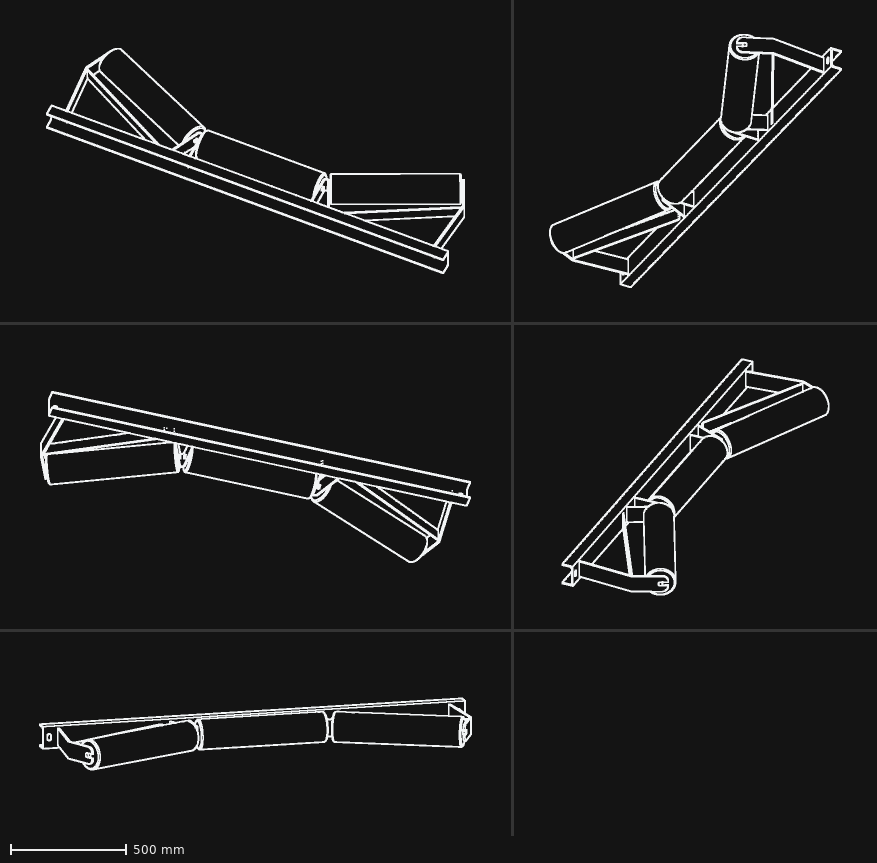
import cadquery as cq
import math


BEAM_LENGTH = 1900.0
BEAM_HEIGHT = 99.0
FLANGE_DEPTH = 51.0
BEAM_WALL = 5.0
BEAM_INNER_RADIUS = 10.0
SLOT_LENGTH = 28.0
SLOT_WIDTH = 17.0
SLOT_FROM_BEAM_END = 28.0

ROLLER_DIAMETER = 133.0
ROLLER_LENGTH = 570.0
ROLLER_CHAMFER = 5.0
SHAFT_DIAMETER = 19.0
MIDDLE_ROLLER_Y = 115.0
WING_ANGLE = 25.0
WING_INNER_END = (325.0, 127.0)

PLATE_WIDTH = 76.0
INNER_PLATE = 5.0
OUTER_PLATE = 8.0
BRACE_PLATE = 5.0
INNER_CLEARANCE = 4.0
OUTER_CLEARANCE = 5.0
INNER_BEND_RADIUS = 8.5
BEND_Y = 260.0
BEND_REACH = 4.0
UPRIGHT_FOOT_X = 880.0
BRACE_FOOT_X = 415.0
BRACE_WIDTH = 57.0
PLATE_END_BEYOND_SHAFT = 35.0
PLATE_CORNER_RADIUS = 27.0

FOOT_Y = -BEAM_WALL / 2

COS_WING = math.cos(math.radians(WING_ANGLE))
SIN_WING = math.sin(math.radians(WING_ANGLE))
TAN_WING = SIN_WING / COS_WING
SHAFT_OVERHANG = max(OUTER_CLEARANCE + OUTER_PLATE, INNER_CLEARANCE + INNER_PLATE)
SHAFT_LENGTH = ROLLER_LENGTH + 2 * SHAFT_OVERHANG


def wing_point(along, across):
    """Point at a distance outwards from the wing roller's inner end and across its axis."""
    x = WING_INNER_END[0] + along * COS_WING - across * SIN_WING
    y = WING_INNER_END[1] + along * SIN_WING + across * COS_WING
    return (x, y)


WING_CENTRE = wing_point(ROLLER_LENGTH / 2, 0)
LEFT_STATION = ((-WING_CENTRE[0], WING_CENTRE[1]), -WING_ANGLE)
MIDDLE_STATION = ((0, MIDDLE_ROLLER_Y), 0)
RIGHT_STATION = (WING_CENTRE, WING_ANGLE)
STATIONS = [LEFT_STATION, MIDDLE_STATION, RIGHT_STATION]


def make_rod(diameter, length):
    """Cylinder along X, centred on the origin."""
    return cq.Workplane("YZ", origin=(-length / 2, 0, 0)).circle(diameter / 2).extrude(length)


def place(body, station):
    """Turn a body lying along X and move it to a roller station."""
    (x, y), turn = station
    return body.rotate((0, 0, 0), (0, 0, 1), turn).translate((x, y, 0))


def make_shaft(station):
    return place(make_rod(SHAFT_DIAMETER, SHAFT_LENGTH), station)


def make_roller(station):
    roller = make_rod(ROLLER_DIAMETER, ROLLER_LENGTH).edges("%CIRCLE").chamfer(ROLLER_CHAMFER)
    return place(roller.cut(make_rod(SHAFT_DIAMETER, ROLLER_LENGTH)), station)


def make_beam():
    """Channel with its flanges pointing to -Y and a slot near each end of the web."""
    beam = cq.Workplane("XY").box(BEAM_LENGTH, FLANGE_DEPTH, BEAM_HEIGHT).translate((0, -FLANGE_DEPTH / 2, 0))
    trough = (
        cq.Workplane("XY")
        .box(BEAM_LENGTH, FLANGE_DEPTH, BEAM_HEIGHT - 2 * BEAM_WALL)
        .edges("|X and >Y")
        .fillet(BEAM_INNER_RADIUS)
        .translate((0, -FLANGE_DEPTH / 2 - BEAM_WALL, 0))
    )
    slot_x = BEAM_LENGTH / 2 - SLOT_FROM_BEAM_END
    slots = (
        cq.Workplane("XZ")
        .pushPoints([(-slot_x, 0), (slot_x, 0)])
        .slot2D(SLOT_LENGTH, SLOT_WIDTH, 90)
        .extrude(BEAM_WALL)
    )
    return beam.cut(trough).cut(slots)


def make_wedge(clearance, bend_radius):
    """Space between the middle and wing rollers, a given distance clear of their end faces."""
    near_x = ROLLER_LENGTH / 2 + clearance
    face_x, face_y = wing_point(-clearance, 0)
    foot_x = face_x + (face_y - FOOT_Y) * TAN_WING
    tip_y = FOOT_Y + (foot_x - near_x) / TAN_WING
    return (
        cq.Workplane("XY")
        .polyline([(near_x, FOOT_Y), (foot_x, FOOT_Y), (near_x, tip_y)])
        .close()
        .extrude(PLATE_WIDTH)
        .edges("|Z and >Y")
        .fillet(bend_radius)
        .translate((0, 0, -PLATE_WIDTH / 2))
    )


def make_inner_bracket():
    """Plate bent into a narrow arch that carries one end of the middle and wing shafts."""
    outside = make_wedge(INNER_CLEARANCE, INNER_BEND_RADIUS + INNER_PLATE)
    inside = make_wedge(INNER_CLEARANCE + INNER_PLATE, INNER_BEND_RADIUS)
    return outside.cut(inside)


def point_towards(start, end, distance):
    """Point at a distance from the start along the line to the end."""
    share = distance / math.dist(start, end)
    return (start[0] + share * (end[0] - start[0]), start[1] + share * (end[1] - start[1]))


def sweep_plate(path, foot, direction_point, width, thickness):
    """Plate that follows a path in the XY plane, which leaves the foot towards a given point."""
    direction = (direction_point[0] - foot[0], direction_point[1] - foot[1], 0)
    section = cq.Plane(origin=(*foot, 0), xDir=(0, 0, 1), normal=direction)
    return cq.Workplane(section).rect(width, thickness).sweep(path)


def make_end_plate(foot, bend, top):
    """Upright plate bent inwards near its top, with the two top corners rounded."""
    path = (
        cq.Workplane("XY")
        .moveTo(*foot)
        .lineTo(*point_towards(bend, foot, BEND_REACH))
        .tangentArcPoint(point_towards(bend, top, BEND_REACH), relative=False)
        .lineTo(*top)
    )
    across_plate = cq.selectors.ParallelDirSelector(cq.Vector(COS_WING, SIN_WING, 0))
    plate = sweep_plate(path, foot, bend, PLATE_WIDTH, OUTER_PLATE)
    return plate.faces(">Y").edges(across_plate).fillet(PLATE_CORNER_RADIUS)


def make_shaft_slot(shaft_point):
    """Slot that is open at the top of the end plate and round at the shaft."""
    reach = 2 * PLATE_END_BEYOND_SHAFT
    slot = (
        cq.Workplane("XY")
        .box(2 * OUTER_PLATE, reach, SHAFT_DIAMETER)
        .translate((0, reach / 2, 0))
        .union(make_rod(SHAFT_DIAMETER, 2 * OUTER_PLATE))
    )
    return place(slot, (shaft_point, WING_ANGLE))


def make_outer_bracket():
    """Bent end plate that carries the outer end of a wing shaft, and the brace from its bend to the beam."""
    along = ROLLER_LENGTH + OUTER_CLEARANCE + OUTER_PLATE / 2
    shaft_point = wing_point(along, 0)
    bend = (shaft_point[0] + (shaft_point[1] - BEND_Y) * TAN_WING, BEND_Y)
    end_plate = make_end_plate((UPRIGHT_FOOT_X, FOOT_Y), bend, wing_point(along, PLATE_END_BEYOND_SHAFT))
    brace_foot = (BRACE_FOOT_X, FOOT_Y)
    brace_path = cq.Workplane("XY").moveTo(*brace_foot).lineTo(*bend)
    brace = sweep_plate(brace_path, brace_foot, bend, BRACE_WIDTH, BRACE_PLATE)
    return end_plate.cut(make_shaft_slot(shaft_point)).union(brace)


def make_frame(shafts):
    """Welded beam and brackets, pierced where the shafts sit."""
    half = make_inner_bracket().union(make_outer_bracket())
    frame = make_beam().union(half).union(half.mirror("YZ"))
    for shaft in shafts:
        frame = frame.cut(shaft)
    return frame


shafts = [make_shaft(station) for station in STATIONS]
rollers = [make_roller(station) for station in STATIONS]
frame = make_frame(shafts)
result = cq.Compound.makeCompound([frame.val(), *[body.val() for body in rollers + shafts]])